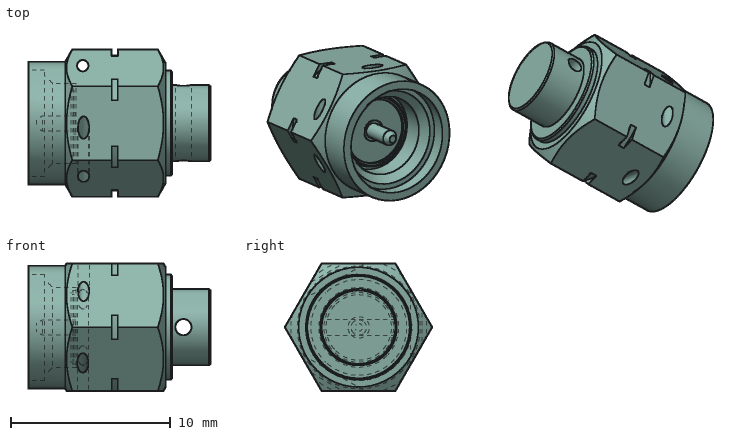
import cadquery as cq
import math


sleeve_length = 2.3
nut_back = 8.6
collar_back = 9.0
overall_length = 11.4

sleeve_radius = 3.85
nut_across_flats = 8.0
collar_radius = 3.3
tail_radius = 2.4
edge_chamfer = 0.1

nut_corner_radius = nut_across_flats / math.sqrt(3)
nut_front_bevel_radius = sleeve_radius
nut_back_bevel_radius = 3.75
nut_bevel_slope = math.tan(math.radians(30))
corner_clearance = 0.1
groove_start = 5.2
groove_width = 0.4
groove_floor_radius = 4.25
lockwire_hole_diameter = 0.7
lockwire_hole_offset = 3.6
lockwire_holes = [(0, 3.4), (120, 3.45), (240, 3.4)]

solder_hole_diameter = 1.0
solder_hole_station = 9.7

entry_radius = 3.33
entry_depth = 1.0
throat_radius = 3.0
bore_radius = 2.5
socket_depth = 2.95

ferrule_radius = 2.3
ferrule_height = 0.3
ferrule_chamfer = 0.115
insulator_radius = 2.05
insulator_setback = 0.18
pin_clearance_radius = 0.67
pin_clearance_depth = 0.1

pin_radius = 0.48
pin_tip_radius = 0.24
pin_tip_station = 0.48
pin_taper_length = 0.38


def cylinder(start, end, radius):
    """Cylinder about the X axis between two stations."""
    return cq.Workplane("YZ", origin=(start, 0, 0)).circle(radius).extrude(end - start)


def turned(profile):
    """Solid of revolution about X from (station, radius) points."""
    return cq.Workplane("XY").polyline(profile).close().revolve(360, (0, 0, 0), (1, 0, 0))


def make_nut():
    length = nut_back - sleeve_length
    hexagon = (
        cq.Workplane("YZ", origin=(sleeve_length, 0, 0))
        .polygon(6, 2 * nut_corner_radius)
        .extrude(length)
    )
    clear_radius = nut_corner_radius + corner_clearance
    front_bevel = (clear_radius - nut_front_bevel_radius) * nut_bevel_slope
    back_bevel = (clear_radius - nut_back_bevel_radius) * nut_bevel_slope
    bevel_envelope = turned([
        (sleeve_length, 0),
        (sleeve_length, nut_front_bevel_radius),
        (sleeve_length + front_bevel, clear_radius),
        (nut_back - back_bevel, clear_radius),
        (nut_back, nut_back_bevel_radius),
        (nut_back, 0),
    ])
    groove_end = groove_start + groove_width
    groove = cylinder(groove_start, groove_end, clear_radius).cut(
        cylinder(groove_start, groove_end, groove_floor_radius)
    )
    nut = hexagon.intersect(bevel_envelope).cut(groove)
    for angle, station in lockwire_holes:
        hole = (
            cq.Workplane("XY", origin=(station, lockwire_hole_offset, 0))
            .circle(lockwire_hole_diameter / 2)
            .extrude(nut_across_flats / 2, both=True)
            .rotate((0, 0, 0), (1, 0, 0), angle)
        )
        nut = nut.cut(hole)
    return nut


def make_tail():
    collar = cylinder(nut_back, collar_back, collar_radius).faces(">X").chamfer(edge_chamfer)
    barrel = cylinder(collar_back, overall_length, tail_radius).faces(">X").chamfer(edge_chamfer)
    solder_hole = (
        cq.Workplane("XZ", origin=(solder_hole_station, 0, 0))
        .circle(solder_hole_diameter / 2)
        .extrude(2 * tail_radius, both=True)
    )
    return collar.union(barrel.cut(solder_hole))


def make_socket():
    taper_end = entry_depth + throat_radius - bore_radius
    return turned([
        (0, 0),
        (0, entry_radius),
        (entry_depth, entry_radius),
        (entry_depth, throat_radius),
        (taper_end, bore_radius),
        (socket_depth, bore_radius),
        (socket_depth, 0),
    ])


def make_contact():
    """Ferrule, insulator and centre pin standing on the socket floor."""
    rim = socket_depth - ferrule_height
    insulator_face = rim + insulator_setback
    clearance_floor = insulator_face + pin_clearance_depth
    return turned([
        (socket_depth, 0),
        (socket_depth, ferrule_radius),
        (rim + ferrule_chamfer, ferrule_radius),
        (rim, ferrule_radius - ferrule_chamfer),
        (rim, insulator_radius),
        (insulator_face, insulator_radius),
        (insulator_face, pin_clearance_radius),
        (clearance_floor, pin_clearance_radius),
        (clearance_floor, pin_radius),
        (pin_tip_station + pin_taper_length, pin_radius),
        (pin_tip_station, pin_tip_radius),
        (pin_tip_station, 0),
    ])


sleeve = cylinder(0, sleeve_length, sleeve_radius)
shell = sleeve.union(make_nut()).union(make_tail())
result = shell.cut(make_socket()).union(make_contact())